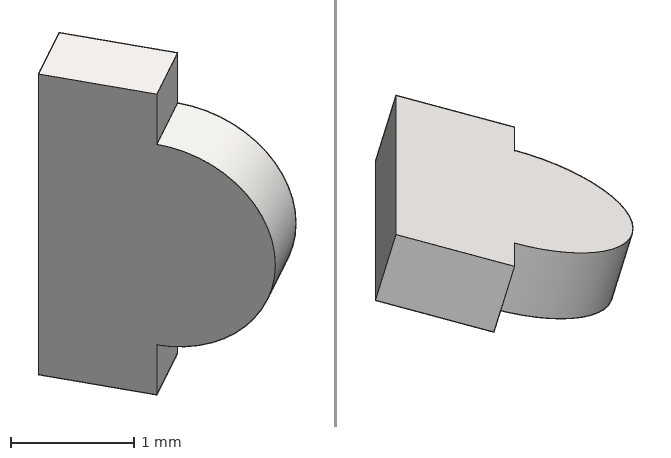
import cadquery as cq

thickness = 0.6
bar_width = 1.0
bar_height = 3.0
disc_radius = 1.0


def make_bar():
    """Upright rectangular bar whose +X face lies on the YZ plane."""
    return cq.Workplane("XY").box(bar_width, thickness, bar_height).translate((-bar_width / 2, 0, 0))


def make_half_disc():
    """Half disc bulging toward +X, centred on the bar's +X face."""
    return (
        cq.Workplane("XZ")
        .moveTo(0, -disc_radius)
        .threePointArc((disc_radius, 0), (0, disc_radius))
        .close()
        .extrude(thickness / 2, both=True)
    )


result = make_bar().union(make_half_disc()).clean()